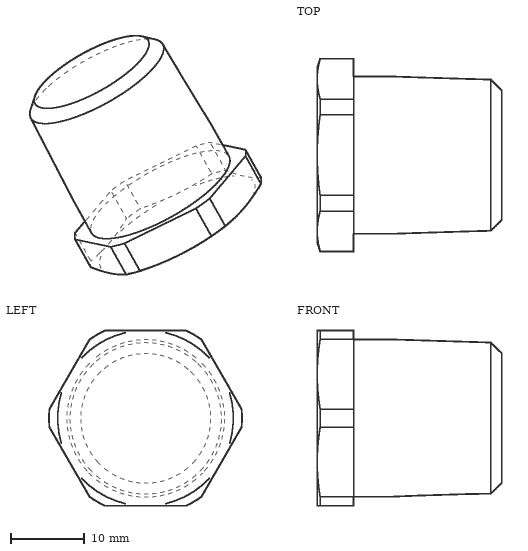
import cadquery as cq

across_flats = 24.0
corner_diameter = 26.4
head_thickness = 5.0
head_chamfer_depth = 0.4

total_length = 25.2
neck_diameter = 21.53
neck_length = 5.17
taper_end_diameter = 20.7
tip_diameter = 17.73
tip_chamfer_length = 1.5

HEX_CORNER_TO_FLAT = 2 / 3**0.5


def make_head():
    """Hexagon with flats facing +/-Z, trimmed to a round and chamfered on its outer face."""
    hexagon = (
        cq.Workplane("YZ")
        .polygon(6, across_flats * HEX_CORNER_TO_FLAT)
        .extrude(head_thickness)
    )
    corner_trim = (
        cq.Workplane("XY")
        .lineTo(0, across_flats / 2)
        .lineTo(head_chamfer_depth, corner_diameter / 2)
        .lineTo(head_thickness, corner_diameter / 2)
        .lineTo(head_thickness, 0)
        .close()
        .revolve(360, (0, 0, 0), (1, 0, 0))
    )
    return hexagon.intersect(corner_trim)


def make_shank():
    """Straight neck, long taper and chamfered tip."""
    taper_start = head_thickness + neck_length
    taper_end = total_length - tip_chamfer_length
    return (
        cq.Workplane("XZ")
        .moveTo(head_thickness, 0)
        .lineTo(head_thickness, neck_diameter / 2)
        .lineTo(taper_start, neck_diameter / 2)
        .lineTo(taper_end, taper_end_diameter / 2)
        .lineTo(total_length, tip_diameter / 2)
        .lineTo(total_length, 0)
        .close()
        .revolve(360, (0, 0, 0), (1, 0, 0))
    )


result = make_head().union(make_shank())